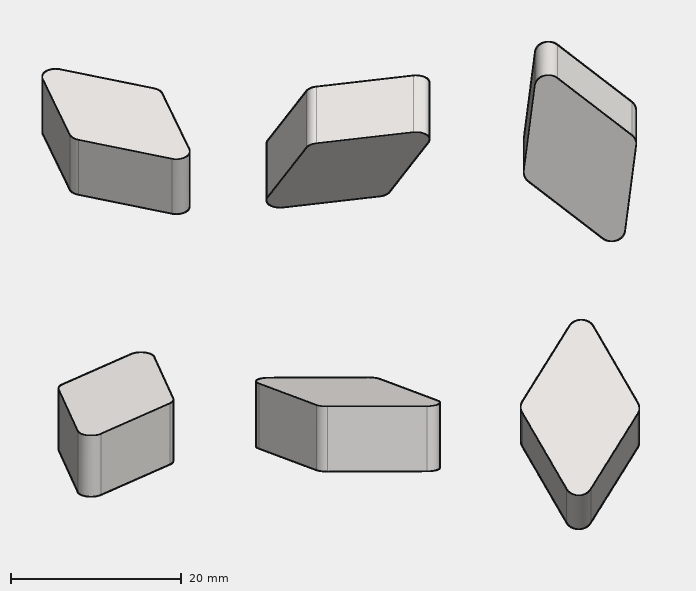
import cadquery as cq
import math

length = 21.47
width = 12.7
height = 7.95
acute_angle = math.radians(55)

side = width / math.sin(acute_angle)
slant_x = side * math.cos(acute_angle)
sharp_length = side + slant_x

shortening_per_radius = 1 / math.tan(acute_angle / 2) - 1
corner_radius = (sharp_length - length) / (2 * shortening_per_radius)

acute_x = sharp_length / 2
obtuse_x = acute_x - side
half_width = width / 2
corners = [
    (-acute_x, -half_width),
    (-obtuse_x, -half_width),
    (acute_x, half_width),
    (obtuse_x, half_width),
]

block = cq.Workplane("XY").polyline(corners).close().extrude(height)
result = block.edges("|Z").fillet(corner_radius)